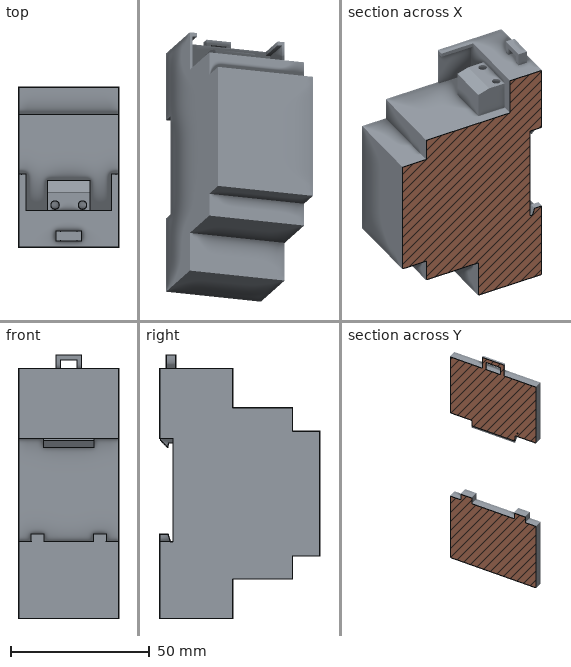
import cadquery as cq

width = 36.2
depth = 57.8
total_height = 95.2
body_height = 90.3

shoulder_y = 26.4
step_y = 48.0
shoulder_bottom, shoulder_top = 14.3, 76.1
nose_bottom, nose_top = 22.6, 67.7

rail_depth = 4.8
rail_bottom, rail_top = 27.8, 65.0

cheek_thickness = 2.7
cheek_lip_height = 1.4
cheek_undercut = 1.7
pocket_back_y = 13.2

terminal_width = 15.2
terminal_front_y = 24.2
terminal_crest_y = 19.7
terminal_front_height, terminal_crest_height = 85.5, 86.8
screw_diameter = 3.0
screw_depth = 1.9
screw_offset = 4.95
screw_y = 15.2

loop_width = 9.2
loop_window_width = 5.9
loop_bar_height = 1.9
loop_back_y, loop_front_y = 2.3, 5.8

latch_width = 18.3
latch_plate_thickness = 1.7
latch_tooth_y = 3.2
latch_tip_y, latch_tip_drop = 2.95, 3.3
latch_nose_y, latch_nose_drop = 0.3, 0.7

foot_width = 4.8
foot_offset = 11.2
foot_height = 2.7
foot_base_depth, foot_top_depth = 3.9, 3.0


def extrude_yz(points, x_width, x_center=0.0):
    """Prism with a YZ outline, centred on x_center."""
    outline = cq.Workplane("YZ", origin=(x_center, 0, 0)).polyline(points).close()
    return outline.extrude(x_width / 2, both=True)


def box(x_size, y_range, z_range):
    """Box centred on X=0 between two Y and two Z limits."""
    y_min, y_max = y_range
    z_min, z_max = z_range
    block = cq.Workplane("XY").box(x_size, y_max - y_min, z_max - z_min, centered=(True, False, False))
    return block.translate((0, y_min, z_min))


def make_housing():
    return extrude_yz(
        [
            (0, 0),
            (shoulder_y, 0),
            (shoulder_y, shoulder_bottom),
            (step_y, shoulder_bottom),
            (step_y, nose_bottom),
            (depth, nose_bottom),
            (depth, nose_top),
            (step_y, nose_top),
            (step_y, shoulder_top),
            (shoulder_y, shoulder_top),
            (shoulder_y, body_height),
            (0, body_height),
            (0, rail_top),
            (rail_depth, rail_top),
            (rail_depth, rail_bottom),
            (0, rail_bottom),
        ],
        width,
    )


def make_pocket():
    mouth_width = width - 2 * cheek_thickness
    y_range = (pocket_back_y, shoulder_y)
    lip_bottom = body_height - cheek_lip_height
    mouth = box(mouth_width, y_range, (shoulder_top, total_height))
    undercut = box(mouth_width + 2 * cheek_undercut, y_range, (shoulder_top, lip_bottom))
    return mouth.union(undercut)


def make_terminal_block():
    block = extrude_yz(
        [
            (pocket_back_y, shoulder_top),
            (terminal_front_y, shoulder_top),
            (terminal_front_y, terminal_front_height),
            (terminal_crest_y, terminal_crest_height),
            (pocket_back_y, terminal_crest_height),
        ],
        terminal_width,
    )
    screws = (
        cq.Workplane("XY", origin=(0, screw_y, terminal_crest_height))
        .pushPoints([(-screw_offset, 0), (screw_offset, 0)])
        .circle(screw_diameter / 2)
        .extrude(-screw_depth)
    )
    return block.cut(screws)


def make_loop():
    y_range = (loop_back_y, loop_front_y)
    loop = box(loop_width, y_range, (body_height, total_height))
    return loop.cut(box(loop_window_width, y_range, (body_height, total_height - loop_bar_height)))


def make_latch():
    return extrude_yz(
        [
            (rail_depth, rail_top),
            (rail_depth, rail_top - latch_plate_thickness),
            (latch_tooth_y, rail_top - latch_plate_thickness),
            (latch_tip_y, rail_top - latch_tip_drop),
            (latch_nose_y, rail_top - latch_nose_drop),
            (latch_nose_y, rail_top),
        ],
        latch_width,
    )


def make_foot(x_center):
    return extrude_yz(
        [
            (0, rail_bottom),
            (foot_base_depth, rail_bottom),
            (foot_top_depth, rail_bottom + foot_height),
            (0, rail_bottom + foot_height),
        ],
        foot_width,
        x_center,
    )


result = make_housing().cut(make_pocket())
result = result.union(make_terminal_block()).union(make_loop()).union(make_latch())
for side in (-1, 1):
    result = result.union(make_foot(side * foot_offset))